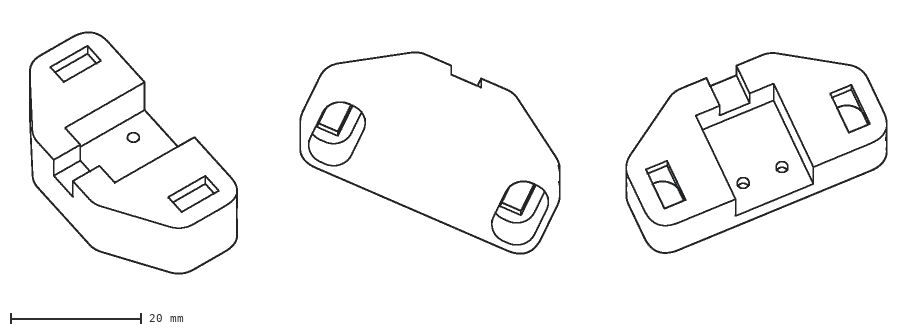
import cadquery as cq
import math

length = 40.0
width = 20.0
height = 11.8
corner_radius = 4.0
bottom_fillet = 0.5

front_edge_length = 16.0
straight_side_length = 12.0

pocket_width = 13.0
pocket_length = 15.0
pocket_depth = 7.0

channel_width = 5.0
channel_depth = 4.0

hole_diameter = 1.8
hole_depth = 2.4
hole_spacing = 6.5
hole_back_distance = 4.5

slot_width = 3.5
slot_length = 7.0
slot_back_margin = 3.0
left_slot_x = -15.5
right_slot_x = 15.3

slot_lip_thickness = 2.0
recess_margin = 1.7
recess_corner_radius = 3.0

back_y = width / 2
front_y = -width / 2


def make_rounded_outline(corners):
    """Closed polygon with every corner eased by a parabolic curve tangent to both sides."""
    outline = cq.Workplane("XY")
    count = len(corners)
    for index in range(count):
        corner = cq.Vector(*corners[index])
        to_previous = cq.Vector(*corners[index - 1]) - corner
        to_next = cq.Vector(*corners[(index + 1) % count]) - corner
        setback = corner_radius / math.tan(to_previous.getAngle(to_next) / 2)
        start = corner + to_previous.normalized() * setback
        end = corner + to_next.normalized() * setback
        if index == 0:
            outline = outline.moveTo(start.x, start.y)
        else:
            outline = outline.lineTo(start.x, start.y)
        outline = outline.bezier([corner.toTuple(), end.toTuple()], includeCurrent=True)
    return outline.close()


def make_body():
    """Rounded block with a flat back and a tapered front."""
    side_x = length / 2
    taper_y = back_y - straight_side_length
    front_x = front_edge_length / 2
    corners = [
        (-side_x, back_y),
        (-side_x, taper_y),
        (-front_x, front_y),
        (front_x, front_y),
        (side_x, taper_y),
        (side_x, back_y),
    ]
    body = make_rounded_outline(corners).extrude(height)
    return body.faces("<Z").edges().fillet(bottom_fillet)


def make_top_cut(cut_width, cut_length, depth, center_y):
    """Rectangular cutter reaching down from the top face."""
    return (
        cq.Workplane("XY", origin=(0, center_y, height))
        .rect(cut_width, cut_length)
        .extrude(-depth)
    )


def make_holes():
    """Pair of blind holes going down from the pocket floor."""
    hole_y = back_y - hole_back_distance
    return (
        cq.Workplane("XY", origin=(0, hole_y, height - pocket_depth))
        .pushPoints([(-hole_spacing / 2, 0), (hole_spacing / 2, 0)])
        .circle(hole_diameter / 2)
        .extrude(-hole_depth)
    )


def make_strap_opening(center_x):
    """Slot through the top lip with a larger rounded recess below it."""
    center_y = back_y - slot_back_margin - slot_length / 2
    base = cq.Workplane("XY", origin=(center_x, center_y, 0))
    slot = base.rect(slot_width, slot_length).extrude(height)
    recess = (
        base.rect(slot_width + 2 * recess_margin, slot_length + 2 * recess_margin)
        .extrude(height - slot_lip_thickness)
        .edges("|Z")
        .fillet(recess_corner_radius)
    )
    return slot.union(recess)


channel_length = width - pocket_length
pocket = make_top_cut(pocket_width, pocket_length, pocket_depth, back_y - pocket_length / 2)
channel = make_top_cut(channel_width, channel_length, channel_depth, front_y + channel_length / 2)

result = make_body().cut(pocket).cut(channel).cut(make_holes())
for slot_x in (left_slot_x, right_slot_x):
    result = result.cut(make_strap_opening(slot_x))